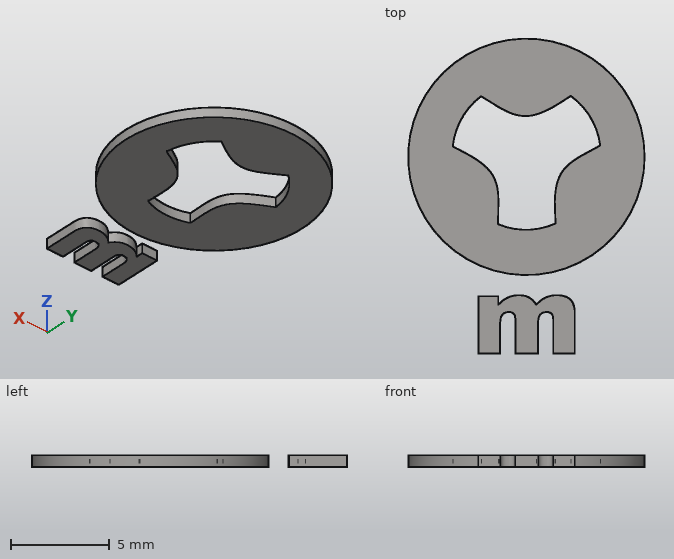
import cadquery as cq
import math

OVERALL_LENGTH = 15.97
THICKNESS = 0.6

DISC_DIAMETER = 12.0

OPENING_CENTER_Y = 0.08
ARM_COUNT = 3
ARM_PITCH = 360.0 / ARM_COUNT
ARM_END_RADIUS = 3.77
ARM_MIDDLE_ANGLE = 90.0 - ARM_PITCH / 2

LOBE_LEFT_CORNER = (-2.3, 2.99)
LOBE_LEFT_FLANK = (-1.28, 2.36)
LOBE_LEFT_SHOULDER = (-0.64, 2.08)
LOBE_TIP = (0.0, 1.98)
LOBE_RIGHT_SHOULDER = (0.64, 2.11)
LOBE_RIGHT_FLANK = (1.28, 2.4)
LOBE_RIGHT_CORNER = (2.25, 3.0)

LETTER_LEFT = -2.43
LETTER_FOOT = DISC_DIAMETER / 2 - OVERALL_LENGTH
STEM_WIDTH = 1.1
STEM_HEIGHT = 2.92
SERIF_WIDTH = 1.0
ARCH_PITCH = 1.92
SLOT_WIDTH = 0.77
SLOT_HEIGHT = 2.11
SLOT_LEFT_SPRING = 1.58
SLOT_RIGHT_SPRING = 1.74
SLOT_CROWN_OFFSET = 0.45
ARCH_HEIGHT = 2.97
ARCH_CROWN_OFFSET = 1.05
NOTCH_HEIGHT = 2.49
RIGHT_SPRING = 2.06

RIGHTWARD = (1, 0)
LEFTWARD = (-1, 0)
UPWARD = (0, 1)
DOWNWARD = (0, -1)
ARCH_START = (1, 1)
FIRST_ARCH_END = (1, -1.6)


def turned(point, angle):
    """Turn a point about the opening centre by an angle in degrees and place it on the disc."""
    x, y = point
    c = math.cos(math.radians(angle))
    s = math.sin(math.radians(angle))
    return (x * c - y * s, OPENING_CENTER_Y + x * s + y * c)


def make_opening():
    """Solid that fills the three-armed opening."""
    lobe = [
        LOBE_LEFT_CORNER,
        LOBE_LEFT_FLANK,
        LOBE_LEFT_SHOULDER,
        LOBE_TIP,
        LOBE_RIGHT_SHOULDER,
        LOBE_RIGHT_FLANK,
        LOBE_RIGHT_CORNER,
    ]
    arm_end = (
        ARM_END_RADIUS * math.cos(math.radians(ARM_MIDDLE_ANGLE)),
        ARM_END_RADIUS * math.sin(math.radians(ARM_MIDDLE_ANGLE)),
    )
    outline = cq.Workplane("XY").moveTo(*turned(LOBE_LEFT_CORNER, 0))
    for i in range(ARM_COUNT):
        angle = -i * ARM_PITCH
        outline = outline.spline([turned(p, angle) for p in lobe[1:]], includeCurrent=True)
        outline = outline.threePointArc(
            turned(arm_end, angle),
            turned(LOBE_LEFT_CORNER, angle - ARM_PITCH),
        )
    return outline.close().extrude(THICKNESS)


def make_disc():
    """Round plate with the three-armed opening cut through it."""
    return cq.Workplane("XY").circle(DISC_DIAMETER / 2).extrude(THICKNESS).cut(make_opening())


def make_letter():
    """Flat letter m, drawn from its bottom-left corner."""
    slot_left = STEM_WIDTH
    second_slot_left = slot_left + ARCH_PITCH
    right_side = second_slot_left + SLOT_WIDTH + STEM_WIDTH
    notch = SERIF_WIDTH + ARCH_PITCH

    outline = (
        cq.Workplane("XY", origin=(LETTER_LEFT, LETTER_FOOT, 0))
        .lineTo(0, STEM_HEIGHT)
        .lineTo(SERIF_WIDTH, STEM_HEIGHT)
        .lineTo(SERIF_WIDTH, NOTCH_HEIGHT)
        .spline([(SERIF_WIDTH + ARCH_CROWN_OFFSET, ARCH_HEIGHT)], tangents=[ARCH_START, RIGHTWARD],
                includeCurrent=True)
        .spline([(notch, NOTCH_HEIGHT)], tangents=[RIGHTWARD, FIRST_ARCH_END], includeCurrent=True)
        .spline([(notch + ARCH_CROWN_OFFSET, ARCH_HEIGHT)], tangents=[ARCH_START, RIGHTWARD],
                includeCurrent=True)
        .spline([(right_side, RIGHT_SPRING)], tangents=[RIGHTWARD, DOWNWARD], includeCurrent=True)
        .lineTo(right_side, 0)
    )
    for left in (second_slot_left, slot_left):
        right = left + SLOT_WIDTH
        crown = (left + SLOT_CROWN_OFFSET, SLOT_HEIGHT)
        outline = (
            outline.lineTo(right, 0)
            .lineTo(right, SLOT_RIGHT_SPRING)
            .spline([crown], tangents=[UPWARD, LEFTWARD], includeCurrent=True)
            .spline([(left, SLOT_LEFT_SPRING)], tangents=[LEFTWARD, DOWNWARD], includeCurrent=True)
            .lineTo(left, 0)
        )
    return outline.close().extrude(THICKNESS)


disc = make_disc()
letter = make_letter()
result = cq.Compound.makeCompound([disc.val(), letter.val()])